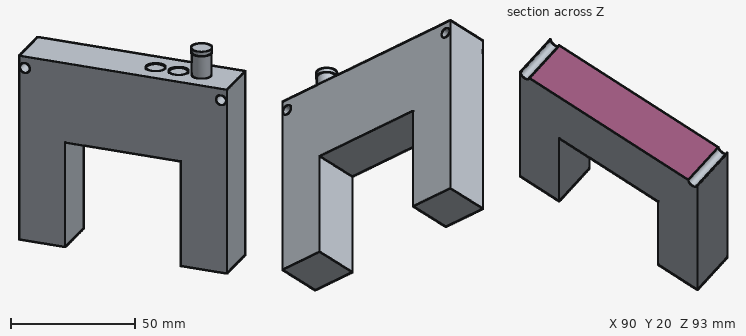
import cadquery as cq

body_length = 90.0
body_depth = 20.0
total_height = 93.0
body_height = 81.0
leg_width = 20.0
slot_height = 46.0

mount_diameter = 4.3
mount_edge_offset = 2.5
mount_top_offset = 5.0

connector_x = 30.0
connector_diameter = 8.0
collar_diameter = 8.6
collar_height = 2.0
connector_height = total_height - body_height

window_diameter = 8.0
window_pitch = 9.95
window_depth = 0.5
window_count = 2


def make_body():
    slot_width = body_length - 2 * leg_width
    block = cq.Workplane("XY").box(body_length, body_depth, body_height, centered=(True, True, False))
    slot = cq.Workplane("XY").box(slot_width, body_depth, slot_height, centered=(True, True, False))
    return block.cut(slot)


def make_mounting_holes():
    hole_x = body_length / 2 - mount_edge_offset
    hole_z = body_height - mount_top_offset
    return (
        cq.Workplane("XZ")
        .pushPoints([(-hole_x, hole_z), (hole_x, hole_z)])
        .circle(mount_diameter / 2)
        .extrude(body_depth / 2, both=True)
    )


def make_connector():
    stem = cq.Workplane("XY", origin=(connector_x, 0, body_height)).circle(connector_diameter / 2)
    collar = cq.Workplane("XY", origin=(connector_x, 0, total_height)).circle(collar_diameter / 2)
    return stem.extrude(connector_height).union(collar.extrude(-collar_height))


def make_windows():
    centers = [(connector_x - window_pitch * step, 0) for step in range(1, window_count + 1)]
    return (
        cq.Workplane("XY", origin=(0, 0, body_height))
        .pushPoints(centers)
        .circle(window_diameter / 2)
        .extrude(-window_depth)
    )


result = make_body().cut(make_mounting_holes()).cut(make_windows()).union(make_connector())